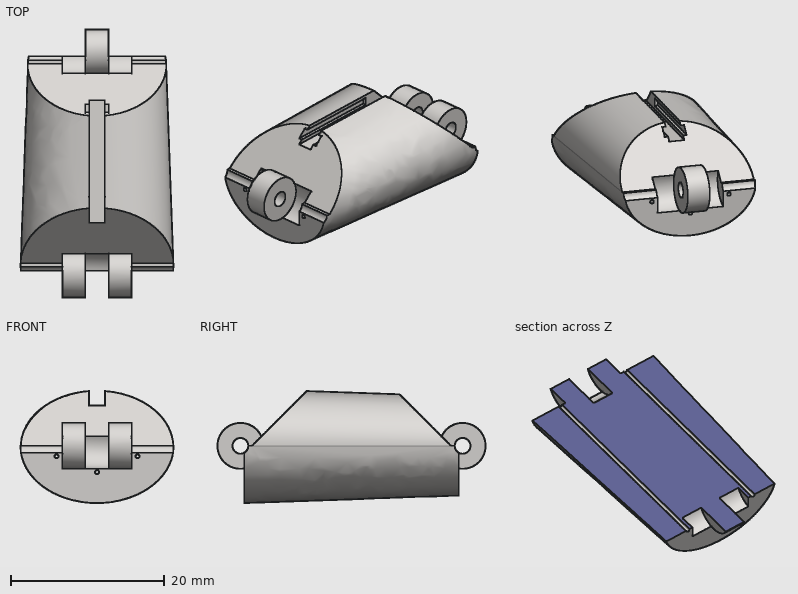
import cadquery as cq

BODY_LENGTH = 28.0
FRONT_HALF_WIDTH = 10.0
FRONT_HALF_HEIGHT = 7.5
BACK_HALF_WIDTH = 9.0
BACK_HALF_HEIGHT = 6.5
BODY_HALF_LENGTH = BODY_LENGTH / 2
HEIGHT_TAPER = (FRONT_HALF_HEIGHT - BACK_HALF_HEIGHT) / BODY_LENGTH

SLOPE_FOOT = 13.0

KNUCKLE_RADIUS = 3.0
KNUCKLE_WIDTH = 3.0
PIN_RADIUS = 1.0
PIN_OFFSET = 17.5 - KNUCKLE_RADIUS

SLOT_WIDTH = 2.05
SLOT_DEPTH = 2.0
UNDERCUT_WIDTH = 3.0
UNDERCUT_HEIGHT = 1.0
UNDERCUT_LIFT = 0.5
UNDERCUT_START = -4.3

CORD_RADIUS = 0.25
CORD_HOLES = [(-5.3, -1.35), (0, -3.43), (5.3, -1.35)]

CLEARANCE = 3.5
CUT_WIDTH = 2 * (FRONT_HALF_WIDTH + CLEARANCE)
CUT_TOP = FRONT_HALF_HEIGHT + CLEARANCE
CUT_END = BODY_HALF_LENGTH + CLEARANCE


def extrude_across(profile, width, center_x=0):
    """Extrude a YZ profile along X, centred on center_x."""
    return profile.extrude(width / 2, both=True).translate((center_x, 0, 0))


def tapered_body():
    return (
        cq.Workplane("XZ", origin=(0, -BODY_HALF_LENGTH, 0))
        .ellipse(FRONT_HALF_WIDTH, FRONT_HALF_HEIGHT)
        .workplane(offset=-BODY_LENGTH)
        .ellipse(BACK_HALF_WIDTH, BACK_HALF_HEIGHT)
        .loft(ruled=True)
    )


def end_slope(side):
    """Material above the ledge and slope at one end (side -1 front, +1 back)."""
    points = [
        (side * CUT_END, 0),
        (side * SLOPE_FOOT, 0),
        (side * (SLOPE_FOOT - CUT_TOP), CUT_TOP),
        (side * CUT_END, CUT_TOP),
    ]
    return extrude_across(cq.Workplane("YZ").polyline(points).close(), CUT_WIDTH)


def hinge_cylinder(side, radius, width, center_x=0):
    """Cylinder about one hinge axis (side -1 front, +1 back)."""
    profile = cq.Workplane("YZ").center(side * PIN_OFFSET, 0).circle(radius)
    return extrude_across(profile, width, center_x)


def groove(width, start, bottom_depth, top_depth):
    """Groove running out at the back, parallel to the tapered crest of the body."""
    def crest(y):
        return FRONT_HALF_HEIGHT - HEIGHT_TAPER * (y + BODY_HALF_LENGTH)

    points = [
        (start, crest(start) - bottom_depth),
        (CUT_END, crest(CUT_END) - bottom_depth),
        (CUT_END, crest(CUT_END) - top_depth),
        (start, crest(start) - top_depth),
    ]
    return extrude_across(cq.Workplane("YZ").polyline(points).close(), width)


def add_hinge(body, side, knuckle_places, relief_places):
    """Cut room for the mating knuckles, add own knuckles, then bore for the pin."""
    for x in relief_places:
        body = body.cut(hinge_cylinder(side, KNUCKLE_RADIUS, KNUCKLE_WIDTH, x))
    for x in knuckle_places:
        body = body.union(hinge_cylinder(side, KNUCKLE_RADIUS, KNUCKLE_WIDTH, x))
    return body.cut(hinge_cylinder(side, PIN_RADIUS, CUT_WIDTH))


part = tapered_body()
for end in (-1, 1):
    part = part.cut(end_slope(end))

middle_place = [0]
outer_places = [-KNUCKLE_WIDTH, KNUCKLE_WIDTH]
part = add_hinge(part, -1, outer_places, middle_place)
part = add_hinge(part, 1, middle_place, outer_places)

undercut_bottom = SLOT_DEPTH - UNDERCUT_LIFT
part = part.cut(groove(SLOT_WIDTH, -CUT_END, SLOT_DEPTH, -CLEARANCE))
part = part.cut(groove(UNDERCUT_WIDTH, UNDERCUT_START, undercut_bottom, undercut_bottom - UNDERCUT_HEIGHT))

cord_holes = (
    cq.Workplane("XZ")
    .pushPoints(CORD_HOLES)
    .circle(CORD_RADIUS)
    .extrude(CUT_END, both=True)
)
result = part.cut(cord_holes)